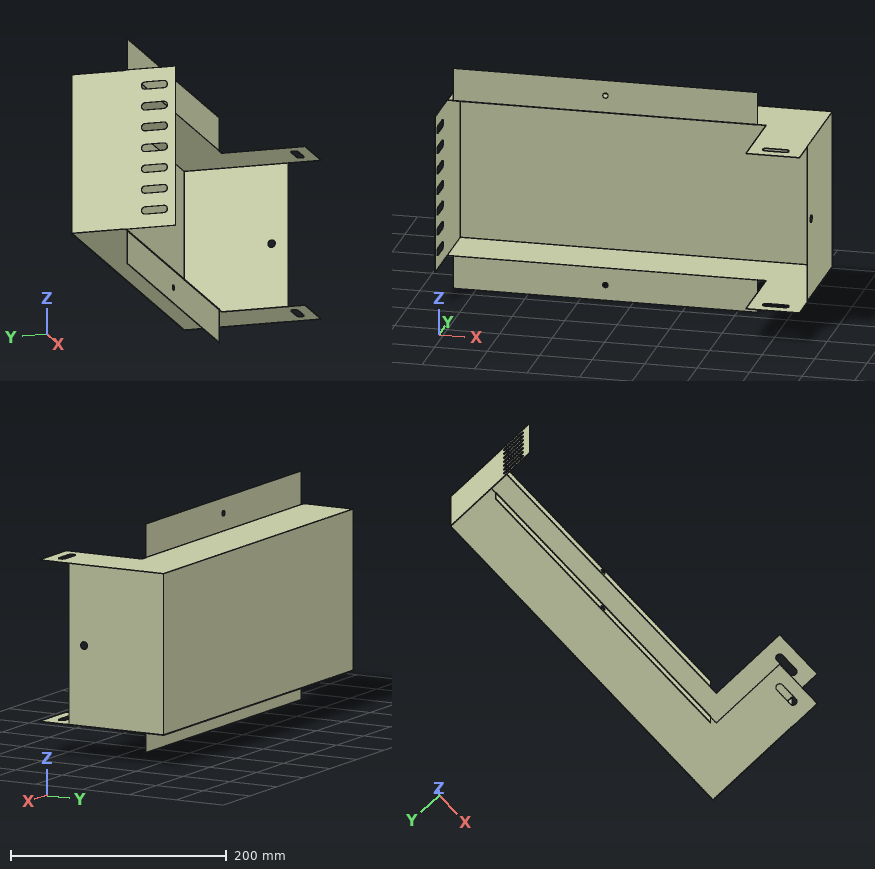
import cadquery as cq

thickness = 0.5
box_width = 355.0
box_height = 153.0
wall_depth = 101.0
flange_depth = 52.3

lug_width = 51.0
lug_reach = 133.0
lug_slot_from_end = 15.0
lug_slot_from_side = 26.0

overall_height = 216.0
tab_width = 290.0
tab_side_offset = 6.0
tab_front = flange_depth + thickness
tab_hole_diameter = 5.0
tab_hole_from_edge = 15.0

slot_length = 25.0
slot_width = 7.0
wall_slot_count = 7
wall_slot_pitch = 20.0
wall_slot_from_front = 20.5
wall_hole_diameter = 7.0
wall_hole_from_front = 16.0

half_height = box_height / 2
tab_center_x = tab_side_offset + tab_width / 2
lug_center_x = box_width - lug_slot_from_side


def block(x_range, y_range, z_range):
    """Box spanning the given (low, high) ranges."""
    size = [high - low for low, high in (x_range, y_range, z_range)]
    corner = (x_range[0], y_range[0], z_range[0])
    return cq.Workplane("XY").box(*size, centered=False).translate(corner)


def make_back():
    return block((0, box_width), (-thickness, 0), (-half_height, half_height))


def make_side_wall(x_low):
    return block((x_low, x_low + thickness), (-wall_depth, 0), (-half_height, half_height))


def make_slotted_wall():
    """-X wall with a column of horizontal slots."""
    slots = (
        cq.Workplane("YZ")
        .center(-wall_depth + wall_slot_from_front, 0)
        .rarray(1, wall_slot_pitch, 1, wall_slot_count)
        .slot2D(slot_length, slot_width)
        .extrude(thickness)
    )
    return make_side_wall(0).cut(slots)


def make_drilled_wall():
    """+X wall with a single round hole."""
    x_low = box_width - thickness
    hole = (
        cq.Workplane("YZ", origin=(x_low, -wall_depth + wall_hole_from_front, 0))
        .circle(wall_hole_diameter / 2)
        .extrude(thickness)
    )
    return make_side_wall(x_low).cut(hole)


def make_upper_flange():
    """L-shaped top plate with its slotted lug."""
    plate_bottom = half_height - thickness
    plate = (
        cq.Workplane("XY", origin=(0, 0, plate_bottom))
        .polyline([
            (0, 0),
            (box_width, 0),
            (box_width, -lug_reach),
            (box_width - lug_width, -lug_reach),
            (box_width - lug_width, -flange_depth),
            (0, -flange_depth),
        ])
        .close()
        .extrude(thickness)
    )
    slot = (
        cq.Workplane("XY", origin=(lug_center_x, -lug_reach + lug_slot_from_end, plate_bottom))
        .slot2D(slot_length, slot_width)
        .extrude(thickness)
    )
    return plate.cut(slot)


def make_upper_tab():
    """Upright tab along the front edge of the top plate, with one hole."""
    tab_top = overall_height / 2
    tab = block(
        (tab_side_offset, tab_side_offset + tab_width),
        (-tab_front, -tab_front + thickness),
        (half_height - thickness, tab_top),
    )
    hole = (
        cq.Workplane("XZ", origin=(tab_center_x, -tab_front + thickness, tab_top - tab_hole_from_edge))
        .circle(tab_hole_diameter / 2)
        .extrude(thickness)
    )
    return tab.cut(hole)


upper_parts = make_upper_flange().union(make_upper_tab())
lower_parts = upper_parts.mirror("XY")

result = (
    make_back()
    .union(make_slotted_wall())
    .union(make_drilled_wall())
    .union(upper_parts)
    .union(lower_parts)
    .clean()
)